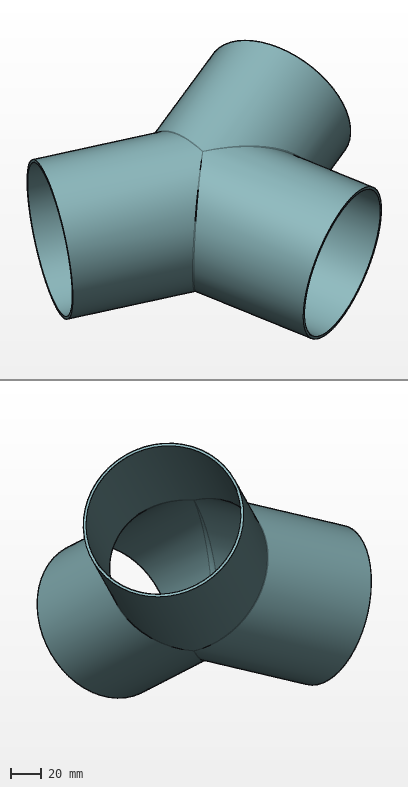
import cadquery as cq
import math

outer_diameter = 108.0
bore_diameter = 104.0
overall_width = 224.9
splay_angle = 45.0
outer_joint_fillet = 1.1
inner_joint_fillet = 3.1

splay = math.radians(splay_angle)
leg_length = (overall_width / 2 - outer_diameter / 2 * math.cos(splay)) / math.sin(splay)

outlet_x = math.sin(splay)
outlet_y = math.cos(splay)
leg_directions = [(0, -1, 0), (-outlet_x, outlet_y, 0), (outlet_x, outlet_y, 0)]


def cylinder_along(direction, diameter):
    """Cylinder of one leg's length, starting at the junction of the three axes."""
    plane = cq.Plane(origin=(0, 0, 0), xDir=(0, 0, 1), normal=direction)
    return cq.Workplane(plane).circle(diameter / 2).extrude(leg_length)


def three_legs(diameter, joint_fillet):
    """Three cylinders meeting in elliptical mitre joints, with the joints rounded."""
    legs = cq.Workplane("XY").sphere(diameter / 2)
    for direction in leg_directions:
        legs = legs.union(cylinder_along(direction, diameter))
    return legs.edges("%ELLIPSE").fillet(joint_fillet)


body = three_legs(outer_diameter, outer_joint_fillet)
bore = three_legs(bore_diameter, inner_joint_fillet)
result = body.cut(bore)